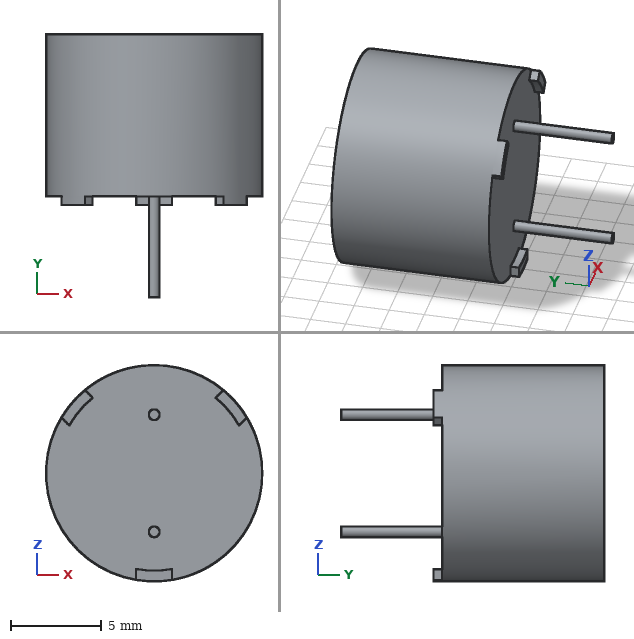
import cadquery as cq

body_diameter = 12.0
overall_length = 14.6
pin_length = 5.6
body_length = overall_length - pin_length

pin_diameter = 0.6
pin_spacing = 6.5

foot_height = 0.5
foot_width = 2.0
foot_inner_radius = 5.4
upper_foot_angle = 45.0
upper_foot_shift = 0.45


def pin_face():
    """Plane of the pin face, facing -Y, with +X right and +Z up."""
    return cq.Workplane("XZ")


def make_body():
    return pin_face().circle(body_diameter / 2).extrude(-body_length)


def make_pins():
    half_spacing = pin_spacing / 2
    return (
        pin_face()
        .pushPoints([(0, half_spacing), (0, -half_spacing)])
        .circle(pin_diameter / 2)
        .extrude(pin_length)
    )


def make_foot(angle, shift=0.0):
    """Parallel-sided piece of the rim ring, at the given angle from +X toward +Z."""
    outer_radius = body_diameter / 2
    ring = pin_face().circle(outer_radius).circle(foot_inner_radius).extrude(foot_height)
    strip = pin_face().center(outer_radius / 2, shift).rect(outer_radius, foot_width).extrude(foot_height)
    strip = strip.rotate((0, 0, 0), (0, -1, 0), angle)
    return ring.intersect(strip)


lower_foot = make_foot(-90)
right_foot = make_foot(upper_foot_angle, -upper_foot_shift)
left_foot = right_foot.mirror("YZ")

result = make_body().union(make_pins())
for foot in (lower_foot, right_foot, left_foot):
    result = result.union(foot)